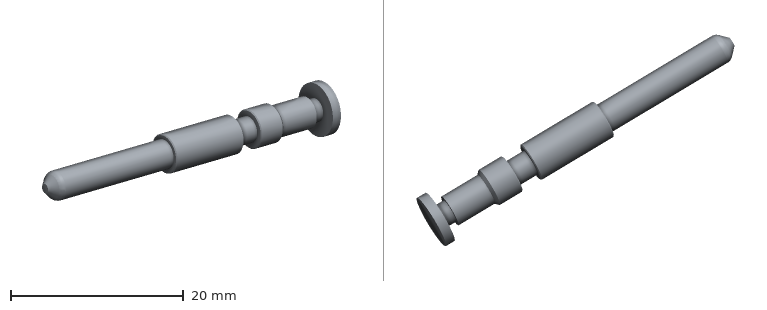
import cadquery as cq
import math

total_length = 40.9
tail_end = total_length / 2
tip_end = -total_length / 2

flange_diameter = 6.5
flange_thickness = 1.2
flare_diameter = 4.45

neck_diameter = 2.85
neck_length = 1.35
tail_diameter = 3.9
tail_length = 4.9

collar_diameter = 4.75
collar_length = 3.55
groove_diameter = 3.2
groove_length = 2.5
barrel_length = 9.95
edge_chamfer = 0.12

pin_diameter = 3.6
tip_flat_diameter = 1.15
shoulder_radius = 1.02
tip_angle = math.radians(45)

flange_front = tail_end - flange_thickness
neck_front = flange_front - neck_length
collar_back = neck_front - tail_length
collar_front = collar_back - collar_length
barrel_back = collar_front - groove_length
barrel_front = barrel_back - barrel_length

flange_radius = flange_diameter / 2
flare_radius = flare_diameter / 2
neck_radius = neck_diameter / 2
tail_radius = tail_diameter / 2
collar_radius = collar_diameter / 2
groove_radius = groove_diameter / 2
pin_radius = pin_diameter / 2
tip_flat_radius = tip_flat_diameter / 2


def revolve_about_y(profile):
    """Turn a closed half-profile in the XY plane a full revolution about Y."""
    return profile.revolve(360, (0, 0, 0), (0, 1, 0))


def make_flange():
    """Ring whose conical hole seats the flared head of the contact."""
    profile = (
        cq.Workplane("XY")
        .moveTo(neck_radius, flange_front)
        .lineTo(flange_radius, flange_front)
        .lineTo(flange_radius, tail_end)
        .lineTo(flare_radius, tail_end)
        .close()
    )
    return revolve_about_y(profile)


def make_contact():
    """Turned contact: flared head, neck, tail, collar, groove, barrel and pin."""
    lead_in = collar_radius - tail_radius
    chamfered_radius = collar_radius - edge_chamfer

    cone_radius = pin_radius - shoulder_radius * (1 - math.cos(tip_angle))
    cone_back = tip_end + (cone_radius - tip_flat_radius) / math.tan(tip_angle)
    shoulder_back = cone_back + shoulder_radius * math.sin(tip_angle)
    half_angle = tip_angle / 2
    arc_middle = (
        pin_radius - shoulder_radius * (1 - math.cos(half_angle)),
        shoulder_back - shoulder_radius * math.sin(half_angle),
    )

    profile = (
        cq.Workplane("XY")
        .moveTo(0, tail_end)
        .lineTo(flare_radius, tail_end)
        .lineTo(neck_radius, flange_front)
        .lineTo(neck_radius, neck_front)
        .lineTo(tail_radius, neck_front)
        .lineTo(tail_radius, collar_back)
        .lineTo(collar_radius, collar_back - lead_in)
        .lineTo(collar_radius, collar_front + edge_chamfer)
        .lineTo(chamfered_radius, collar_front)
        .lineTo(groove_radius, collar_front)
        .lineTo(groove_radius, barrel_back)
        .lineTo(chamfered_radius, barrel_back)
        .lineTo(collar_radius, barrel_back - edge_chamfer)
        .lineTo(collar_radius, barrel_front + edge_chamfer)
        .lineTo(chamfered_radius, barrel_front)
        .lineTo(pin_radius, barrel_front)
        .lineTo(pin_radius, shoulder_back)
        .threePointArc(arc_middle, (cone_radius, cone_back))
        .lineTo(tip_flat_radius, tip_end)
        .lineTo(0, tip_end)
        .close()
    )
    return revolve_about_y(profile)


flange = make_flange()
contact = make_contact()

result = cq.Compound.makeCompound([flange.val(), contact.val()])